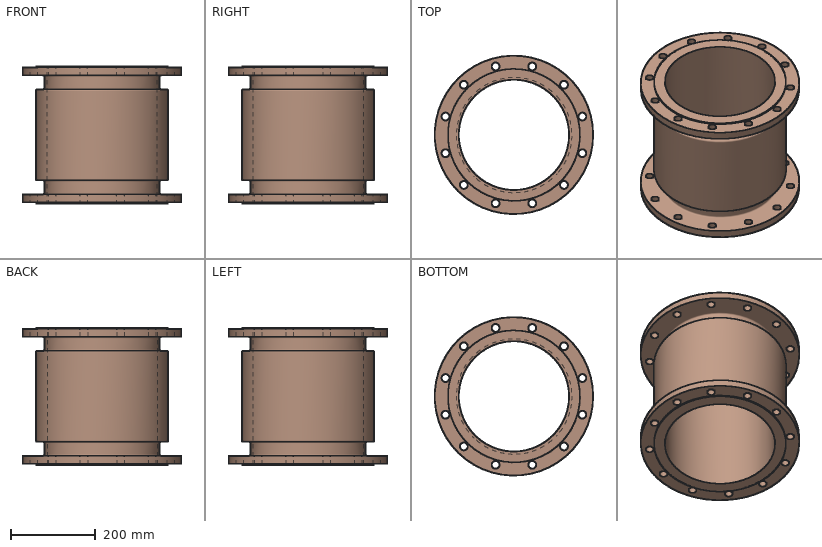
import cadquery as cq

FLANGE_DIAMETER = 375.0
TOTAL_HEIGHT = 325.0

FLANGE_THICKNESS = 19.0
RAISED_FACE_DIAMETER = 312.0
RAISED_FACE_HEIGHT = 3.0

BORE_DIAMETER = 260.2
NECK_DIAMETER = 273.0
BODY_DIAMETER = 313.0
BODY_HEIGHT = 215.0

ROUNDING_RADIUS = 3.5

BOLT_COUNT = 12
BOLT_CIRCLE_DIAMETER = 335.0
BOLT_HOLE_DIAMETER = 18.0

TOLERANCE = 0.05

TOP_FACE = TOTAL_HEIGHT / 2
FLANGE_OUTER_SIDE = TOP_FACE - RAISED_FACE_HEIGHT


def cylinder(diameter, bottom, top):
    """Solid cylinder on the Z axis between two levels."""
    return cq.Workplane("XY", origin=(0, 0, bottom)).circle(diameter / 2).extrude(top - bottom)


def central_body():
    """Thick middle drum with rounded rims."""
    drum = cylinder(BODY_DIAMETER, -BODY_HEIGHT / 2, BODY_HEIGHT / 2)
    return drum.edges("%CIRCLE").fillet(ROUNDING_RADIUS)


def top_flange():
    """Flange plate carrying the raised sealing face."""
    plate = cylinder(FLANGE_DIAMETER, FLANGE_OUTER_SIDE - FLANGE_THICKNESS, FLANGE_OUTER_SIDE)
    return plate.union(cylinder(RAISED_FACE_DIAMETER, FLANGE_OUTER_SIDE, TOP_FACE))


def is_neck_edge(edge):
    """True for the circles where the neck meets the body and the flanges."""
    return abs(edge.radius() - NECK_DIAMETER / 2) < TOLERANCE


def spool():
    """Neck, body and both flanges joined with rounded roots, not yet bored."""
    flange = top_flange()
    neck = cylinder(NECK_DIAMETER, -FLANGE_OUTER_SIDE, FLANGE_OUTER_SIDE)
    blank = neck.union(central_body()).union(flange).union(flange.mirror("XY"))
    return blank.edges("%CIRCLE").filter(is_neck_edge).fillet(ROUNDING_RADIUS)


def bolt_holes():
    """Cylinders through both flanges, straddling the X and Y axes."""
    half_pitch = 180 / BOLT_COUNT
    return (
        cq.Workplane("XY", origin=(0, 0, -TOP_FACE))
        .polarArray(BOLT_CIRCLE_DIAMETER / 2, half_pitch, 360, BOLT_COUNT)
        .circle(BOLT_HOLE_DIAMETER / 2)
        .extrude(TOTAL_HEIGHT)
    )


bore = cylinder(BORE_DIAMETER, -TOP_FACE, TOP_FACE)
result = spool().cut(bore).cut(bolt_holes())